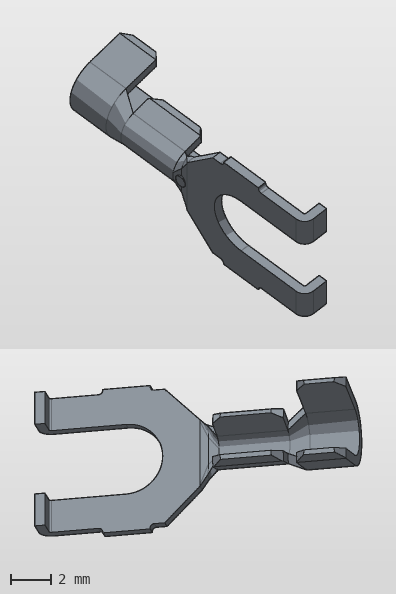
import cadquery as cq
import math

length = 16.26
sheet = 0.52

insulation_end = 2.5
wire_start = 3.53
wire_end = 7.12
fork_start = 8.1
tab_start = 10.63
tab_end = 13.04

insulation_radius = 1.77
insulation_lean = 11.6
insulation_height = 4.06
insulation_clip_lean = 0.0
wire_radius = 1.15
wire_lean = 14.0
wire_height = 2.54
tip_thickness = 0.25
tip_bevel = 0.44
tip_corner = 0.5

crease_x = 7.65
crease_lift = 0.1
crease_floor = 0.68
crease_panel = 0.9
crease_inner_panel = 0.73
crease_outer_edge = 1.45
crease_outer_edge_y = 0.45
crease_inner_edge = 1.28
crease_inner_edge_y = 0.76
flank_bow = 0.05
flank_angles = (12, 44, 76)
neck_panel_margin = 0.1
dimple_radius = 0.34

half_width = 3.56
tab_half_width = 3.82
tab_fillet = 0.21
slot_half_width = 1.85
slot_bottom = 10.0
shoulder_x = 9.89
fork_start_half_width = half_width - (shoulder_x - fork_start)
toe_height = 1.55
toe_inner_radius = 0.1
toe_outer_radius = toe_inner_radius + sheet


def cross_section(x):
    """Workplane across the terminal at station x; local coordinates are (Y, Z)."""
    return cq.Workplane("YZ", origin=(x, 0, 0))


def arc_end(radius, distance, lean):
    """Point (Y, Z) where the bottom arc at this distance from its centre meets the +Z wing."""
    angle = math.radians(lean)
    return radius - distance * math.sin(angle), distance * math.cos(angle)


def trough(plane, radius, lean):
    """Closed outline of the curved barrel bottom alone, without wings."""
    inner = radius - sheet
    outer_y, outer_z = arc_end(radius, radius, lean)
    inner_y, inner_z = arc_end(radius, inner, lean)
    return (
        plane.moveTo(outer_y, -outer_z)
        .threePointArc((0, 0), (outer_y, outer_z))
        .lineTo(inner_y, inner_z)
        .threePointArc((sheet, 0), (inner_y, -inner_z))
        .close()
    )


def barrel(start, end, radius, lean, height, clip_lean):
    """U-shaped crimp barrel with bevelled wing tips; its tip corners are clipped at clip_lean degrees to Z."""
    angle = math.radians(lean)
    inner = radius - sheet
    outer_y, outer_z = arc_end(radius, radius, lean)
    inner_y, inner_z = arc_end(radius, inner, lean)
    wing = (height - inner_y) / math.cos(angle)

    def along_wing(distance, depth):
        """Point (Y, Z) on the +Z wing, depth measured out from its inner face."""
        y = inner_y + distance * math.cos(angle) - depth * math.sin(angle)
        z = inner_z + distance * math.sin(angle) + depth * math.cos(angle)
        return y, z

    ridge = along_wing(wing - tip_bevel, sheet)
    tip_outer = along_wing(wing, tip_thickness)
    tip_inner = along_wing(wing, 0)
    wing_points = [ridge, tip_outer, tip_inner, (inner_y, inner_z)]
    mirrored_points = [(y, -z) for y, z in reversed(wing_points)]

    outline = cross_section(start).moveTo(outer_y, -outer_z)
    outline = outline.threePointArc((0, 0), (outer_y, outer_z))
    for point in wing_points:
        outline = outline.lineTo(*point)
    outline = outline.threePointArc((sheet, 0), mirrored_points[0])
    for point in mirrored_points[1:]:
        outline = outline.lineTo(*point)
    body = outline.close().extrude(end - start)

    clip_angle = math.radians(clip_lean)
    for side in (1, -1):
        tip_plane = cq.Plane(
            origin=(start, tip_inner[0], side * tip_inner[1]),
            xDir=(side, 0, 0),
            normal=(0, -math.sin(clip_angle), side * math.cos(clip_angle)),
        )
        for corner_x, inward in ((0, side), (side * (end - start), -side)):
            clip = (
                cq.Workplane(tip_plane)
                .moveTo(corner_x, -tip_corner)
                .lineTo(corner_x, tip_corner)
                .lineTo(corner_x + inward * 2 * tip_corner, tip_corner)
                .close()
                .extrude(2 * sheet, both=True)
            )
            body = body.cut(clip)
    return body


def barrel_transition():
    """Tapered trough joining the two barrels."""
    wide = trough(cross_section(insulation_end), insulation_radius, insulation_lean)
    narrow = wide.workplane(offset=wire_start - insulation_end)
    return trough(narrow, wire_radius, wire_lean).loft(ruled=True, combine=True)


def neck_outline(plane, outer, inner):
    """Strip outline: each face is a flat middle panel with a flank on both sides.

    A face is listed as the (Y, Z) points at its panel end, mid-flank and strip edge on +Z;
    a flank without a middle point is straight.
    """
    outer_panel, outer_middle, outer_edge = outer
    inner_panel, inner_middle, inner_edge = inner

    def mirrored(point):
        return point and (point[0], -point[1])

    def flank(outline, middle, end):
        return outline.threePointArc(middle, end) if middle else outline.lineTo(*end)

    outline = plane.moveTo(*mirrored(outer_edge))
    outline = flank(outline, mirrored(outer_middle), mirrored(outer_panel))
    outline = outline.lineTo(*outer_panel)
    outline = flank(outline, outer_middle, outer_edge)
    outline = outline.lineTo(*inner_edge)
    outline = flank(outline, inner_middle, inner_panel)
    outline = outline.lineTo(*mirrored(inner_panel))
    outline = flank(outline, mirrored(inner_middle), mirrored(inner_edge))
    return outline.close()


def neck():
    """Strip flattening from the wire barrel into the fork, creased inward on the way, with a dimple."""

    def barrel_face(radius):
        angles = [math.radians(angle) for angle in flank_angles]
        return [(wire_radius - radius * math.cos(a), radius * math.sin(a)) for a in angles]

    def flank_face(panel_y, panel_z, edge_y, edge_z):
        """Flat panel whose flank curls up to the strip edge, bowed by flank_bow below its chord."""
        middle = ((panel_y + edge_y) / 2 - flank_bow, (panel_z + edge_z) / 2)
        return [(panel_y, panel_z), middle, (edge_y, edge_z)]

    def fork_face(y):
        return [(y, fork_start_half_width - neck_panel_margin), None, (y, fork_start_half_width)]

    outline = neck_outline(
        cross_section(wire_end), barrel_face(wire_radius), barrel_face(wire_radius - sheet)
    )
    outline = neck_outline(
        outline.workplane(offset=crease_x - wire_end),
        flank_face(crease_lift, crease_panel, crease_outer_edge_y, crease_outer_edge),
        flank_face(crease_floor, crease_inner_panel, crease_inner_edge_y, crease_inner_edge),
    )
    outline = neck_outline(
        outline.workplane(offset=fork_start - crease_x),
        fork_face(0),
        fork_face(sheet),
    )
    dimple = (
        cq.Workplane("XZ", origin=(crease_x, 0, 0))
        .circle(dimple_radius)
        .extrude(-sheet / 2)
    )
    return outline.loft(ruled=True, combine=True).union(dimple)


def fork():
    """Slotted fork plate with side tabs and upturned toes."""
    blank = (
        cq.Workplane("XZ")
        .polyline([
            (fork_start, -fork_start_half_width),
            (fork_start, fork_start_half_width),
            (shoulder_x, half_width),
            (length, half_width),
            (length, -half_width),
            (shoulder_x, -half_width),
        ])
        .close()
        .extrude(-toe_height)
    )
    tabs = (
        cq.Workplane("XZ")
        .center((tab_start + tab_end) / 2, 0)
        .rect(tab_end - tab_start, 2 * tab_half_width)
        .extrude(-toe_height)
    )
    margin = 0.02
    root_corners = cq.selectors.BoxSelector(
        (tab_start - margin, -margin, -half_width - margin),
        (tab_end + margin, toe_height + margin, half_width + margin),
    )
    plate = blank.union(tabs).edges("|Y").edges(root_corners).fillet(tab_fillet)

    slot_centre = slot_bottom + slot_half_width
    slot = (
        cq.Workplane("XZ")
        .moveTo(length, -slot_half_width)
        .lineTo(slot_centre, -slot_half_width)
        .threePointArc((slot_bottom, 0), (slot_centre, slot_half_width))
        .lineTo(length, slot_half_width)
        .close()
        .extrude(-toe_height)
    )

    bent_strip = (
        cq.Workplane("XY")
        .moveTo(fork_start, 0)
        .lineTo(length - toe_outer_radius, 0)
        .radiusArc((length, toe_outer_radius), -toe_outer_radius)
        .lineTo(length, toe_height)
        .lineTo(length - sheet, toe_height)
        .lineTo(length - sheet, toe_outer_radius)
        .radiusArc((length - toe_outer_radius, sheet), toe_inner_radius)
        .lineTo(fork_start, sheet)
        .close()
        .extrude(tab_half_width, both=True)
    )
    return plate.cut(slot).intersect(bent_strip)


insulation_barrel = barrel(
    0, insulation_end, insulation_radius, insulation_lean, insulation_height, insulation_clip_lean
)
wire_barrel = barrel(wire_start, wire_end, wire_radius, wire_lean, wire_height, wire_lean)

result = insulation_barrel.union(barrel_transition()).union(wire_barrel).union(neck()).union(fork())